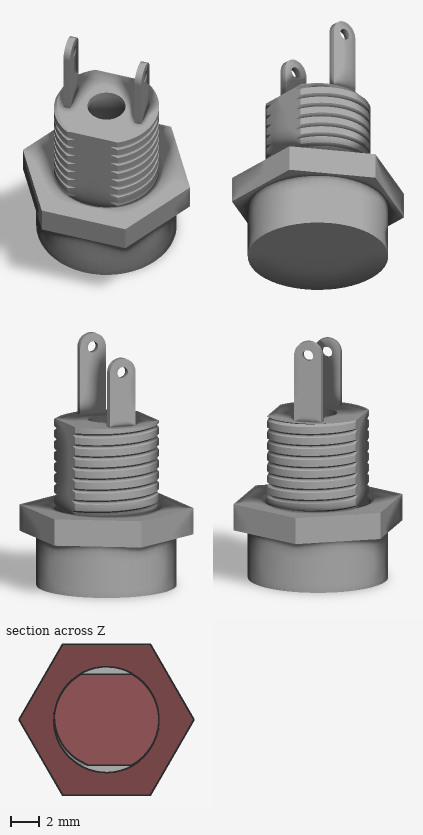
import cadquery as cq
import math


head_diameter = 10.0
head_height = 3.8
barrel_diameter = 7.5
barrel_top = 12.0
barrel_across_flats = 6.5
rear_hole_diameter = 2.7
rear_hole_depth = rear_hole_diameter

thread_pitch = 0.8
thread_depth = 0.25
thread_width = 0.3
thread_overshoot = 0.09
groove_drop_below_top = 0.46

terminal_thickness = 0.5
terminal_width = 2.0
terminal_hole_diameter = 0.8
terminal_offset = 2.65
long_terminal_top = 17.8
short_terminal_top = 16.87

nut_across_flats = 10.8
nut_height = 1.9
nut_chamfer_width = 0.25
nut_chamfer_depth = 0.15

barrel_radius = barrel_diameter / 2
barrel_length = barrel_top - head_height
terminal_radius = terminal_width / 2
nut_across_corners = nut_across_flats / math.cos(math.pi / 6)


def make_half_turn():
    """V-shaped cutter for half a thread turn round the +X side, level with Z = 0 at +X."""
    root_radius = barrel_radius - thread_depth
    outer_radius = barrel_radius + thread_overshoot
    outer_half_width = thread_width / 2 * (1 + thread_overshoot / thread_depth)

    helix = cq.Wire.makeHelix(thread_pitch, thread_pitch / 2, barrel_radius)
    profile = cq.Workplane("XZ").polyline([
        (root_radius, 0),
        (outer_radius, outer_half_width),
        (outer_radius, -outer_half_width),
    ]).close()
    half_turn = profile.sweep(cq.Workplane(obj=helix), isFrenet=True)
    return half_turn.rotate((0, 0, 0), (0, 0, 1), -90).translate((0, 0, -thread_pitch / 4))


def cut_thread(barrel):
    """Cut the thread as half turns that alternate between the two round sides.

    The half turns meet at X = 0, outside the flats, so they leave no joints in the barrel.
    """
    half_turn = make_half_turn()
    top_z = barrel_top - groove_drop_below_top
    half_turn_count = 2 * math.ceil(barrel_length / thread_pitch)

    for index in range(-1, half_turn_count):
        z = top_z - index * thread_pitch / 2
        barrel = barrel.cut(half_turn.rotate((0, 0, 0), (0, 0, 1), 180 * index).translate((0, 0, z)))
    return barrel


def make_barrel():
    """Threaded barrel with two flats and a blind rear hole."""
    barrel = cq.Workplane("XY").workplane(offset=head_height).circle(barrel_radius).extrude(barrel_length)
    between_flats = cq.Workplane("XY").box(
        barrel_diameter, barrel_across_flats, barrel_top, centered=(True, True, False)
    )
    barrel = barrel.intersect(between_flats)
    barrel = barrel.faces(">Z").workplane(origin=(0, 0, 0)).hole(rear_hole_diameter, rear_hole_depth)
    return cut_thread(barrel)


def make_terminal(x_centre, top):
    """Flat solder tag standing on the barrel, with a round end and an eyelet."""
    eye_z = top - terminal_radius
    return (
        cq.Workplane("YZ")
        .workplane(offset=x_centre - terminal_thickness / 2)
        .moveTo(-terminal_radius, barrel_top)
        .lineTo(-terminal_radius, eye_z)
        .threePointArc((0, top), (terminal_radius, eye_z))
        .lineTo(terminal_radius, barrel_top)
        .close()
        .moveTo(0, eye_z)
        .circle(terminal_hole_diameter / 2)
        .extrude(terminal_thickness)
    )


def make_jack():
    """Head, barrel and terminals as one solid."""
    body = cq.Workplane("XY").circle(head_diameter / 2).extrude(head_height)
    body = body.union(make_barrel())
    body = body.union(make_terminal(-terminal_offset, long_terminal_top))
    return body.union(make_terminal(terminal_offset, short_terminal_top))


def make_nut():
    """Hexagon nut resting on the head, bored to fit the barrel and chamfered on top."""
    nut = cq.Workplane("XY").workplane(offset=head_height).polygon(6, nut_across_corners).extrude(nut_height)
    chamfer_angle = 2 * math.degrees(math.atan(nut_chamfer_width / nut_chamfer_depth))
    chamfer_diameter = barrel_diameter + 2 * nut_chamfer_width
    return nut.faces(">Z").workplane().cskHole(barrel_diameter, chamfer_diameter, chamfer_angle)


jack = make_jack()
nut = make_nut()
result = cq.Compound.makeCompound([*jack.solids().vals(), nut.val()])